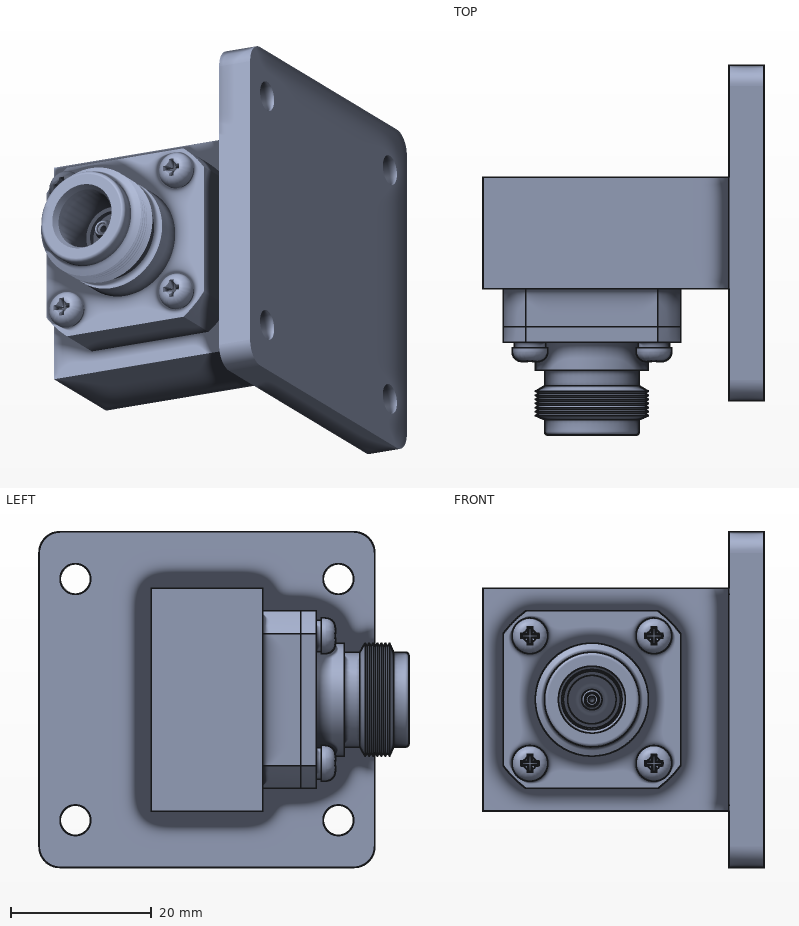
import cadquery as cq


block_length = 35.0
block_depth = 15.88
block_height = 31.75
flange_side = 47.8
flange_thickness = 5.0
flange_corner_radius = 3.0
flange_hole_diameter = 4.3
flange_hole_spacing_y = 37.44
flange_hole_spacing_z = 34.34

axis_x = 15.5
pad_side = 25.3
pad_corner_radius = 15.75
pad_thickness = 5.4
plate_thickness = 2.24
pad_front = block_depth / 2 + pad_thickness
plate_front = pad_front + plate_thickness

barrel_end = 28.77
collar_radius = 8.05
barrel_radius = 6.75
collar_end_depth = 9.2
barrel_end_fillet = 0.5

thread_crest_radius = collar_radius
thread_root_radius = 7.6
thread_crests = 7
thread_pitch = 0.58
thread_start_depth = 7.0
thread_end_depth = 2.2
first_crest_depth = 6.25

mouth_radius = 4.77
mouth_depth = 1.0
bore_radius = 4.3
bore_end_radius = 4.05
bore_depth = 9.0
recess_radius = 3.45
recess_depth = 10.0
contact_radius = 1.45
contact_tip_radius = 1.05
contact_tip_length = 0.8
contact_length = 4.0
contact_mouth_radius = 0.85
contact_mouth_depth = 0.5
contact_hole_radius = 0.5
contact_hole_depth = 3.0

screw_spacing_x = 17.65
screw_spacing_z = 18.15
screw_neck_radius = 2.24
screw_neck_height = 0.73
screw_head_radius = 2.55
screw_rim_height = 0.55
screw_dome_radius = 1.45
cross_length = 2.6
cross_width = 0.75
cross_depth = 1.2
cross_taper = 9.0
cross_center_side = 1.8
cross_center_depth = 0.8
cross_center_taper = 30.0
screw_height = screw_neck_height + screw_rim_height + screw_dome_radius


def facing_front(y):
    """Workplane at distance y in front of the axis, normal -Y, centred on the connector axis."""
    return cq.Workplane("XZ", origin=(axis_x, 0, 0)).workplane(offset=y)


def pad_shape(y, thickness):
    """Square slab whose corners are rounded off by a larger concentric circle."""
    square = facing_front(y).rect(pad_side, pad_side).extrude(thickness)
    disc = facing_front(y).circle(pad_corner_radius).extrude(thickness)
    return square.intersect(disc)


def revolve_about_connector(profile):
    """Revolve a closed (radius, distance along -Y) profile about the connector axis."""
    turned = profile.revolve(360, (0, 0, 0), (0, 1, 0))
    return turned.rotate((0, 0, 0), (1, 0, 0), 180).translate((axis_x, 0, 0))


def make_waveguide_body():
    block = cq.Workplane("YZ").rect(block_depth, block_height).extrude(block_length)
    flange = (
        cq.Workplane("YZ", origin=(block_length, 0, 0))
        .rect(flange_side, flange_side)
        .extrude(flange_thickness)
        .edges("|X")
        .fillet(flange_corner_radius)
        .faces(">X")
        .workplane()
        .rect(flange_hole_spacing_y, flange_hole_spacing_z, forConstruction=True)
        .vertices()
        .hole(flange_hole_diameter)
    )
    return block.union(flange).union(pad_shape(block_depth / 2, pad_thickness))


def make_barrel():
    """Collar, neck, threaded band and nose, as one turned profile."""
    profile = (
        cq.Workplane("XY")
        .moveTo(0, plate_front)
        .lineTo(collar_radius, plate_front)
        .lineTo(collar_radius, barrel_end - collar_end_depth)
        .lineTo(barrel_radius, barrel_end - collar_end_depth)
        .lineTo(barrel_radius, barrel_end - thread_start_depth)
    )
    first_crest = barrel_end - first_crest_depth
    profile = profile.lineTo(thread_crest_radius, first_crest)
    for i in range(1, thread_crests):
        crest = first_crest + i * thread_pitch
        profile = profile.lineTo(thread_root_radius, crest - thread_pitch / 2)
        profile = profile.lineTo(thread_crest_radius, crest)
    nose_radius = barrel_radius - barrel_end_fillet
    profile = (
        profile.lineTo(barrel_radius, barrel_end - thread_end_depth)
        .lineTo(barrel_radius, barrel_end - barrel_end_fillet)
        .radiusArc((nose_radius, barrel_end), -barrel_end_fillet)
        .lineTo(0, barrel_end)
        .close()
    )
    return revolve_about_connector(profile)


def make_bore():
    """Hollow of the barrel, leaving the centre contact standing on the recess floor."""
    floor = barrel_end - recess_depth
    contact_end = floor + contact_length
    hole_floor = contact_end - contact_hole_depth
    profile = cq.Workplane("XY").polyline(
        [
            (0, barrel_end),
            (mouth_radius, barrel_end),
            (bore_radius, barrel_end - mouth_depth),
            (bore_end_radius, barrel_end - bore_depth),
            (recess_radius, barrel_end - bore_depth),
            (recess_radius, floor),
            (contact_radius, floor),
            (contact_radius, contact_end - contact_tip_length),
            (contact_tip_radius, contact_end),
            (contact_mouth_radius, contact_end),
            (contact_mouth_radius, contact_end - contact_mouth_depth),
            (contact_hole_radius, contact_end - contact_mouth_depth),
            (contact_hole_radius, hole_floor),
            (0, hole_floor - contact_hole_radius),
        ]
    ).close()
    return revolve_about_connector(profile)


def make_screw(x, z):
    """Pan-head screw with a cross recess, standing on the plate at (x, z) from the axis."""
    neck = facing_front(plate_front).center(x, z).circle(screw_neck_radius).extrude(screw_neck_height)
    head = (
        facing_front(plate_front + screw_neck_height)
        .center(x, z)
        .circle(screw_head_radius)
        .extrude(screw_rim_height + screw_dome_radius)
        .faces("<Y")
        .edges()
        .fillet(screw_dome_radius)
    )
    top = facing_front(plate_front + screw_height).center(x, z)
    slots = top.rect(cross_length, cross_width).extrude(-cross_depth, taper=cross_taper)
    slots = slots.union(top.rect(cross_width, cross_length).extrude(-cross_depth, taper=cross_taper))
    center = (
        top.transformed(rotate=(0, 0, 45))
        .rect(cross_center_side, cross_center_side)
        .extrude(-cross_center_depth, taper=cross_center_taper)
    )
    return neck.union(head).cut(slots).cut(center)


def make_connector():
    connector = pad_shape(pad_front, plate_thickness).union(make_barrel()).cut(make_bore())
    for side_x in (-1, 1):
        for side_z in (-1, 1):
            screw = make_screw(side_x * screw_spacing_x / 2, side_z * screw_spacing_z / 2)
            connector = connector.union(screw)
    return connector


waveguide_body = make_waveguide_body()
connector = make_connector()
result = cq.Compound.makeCompound([waveguide_body.val(), connector.val()])